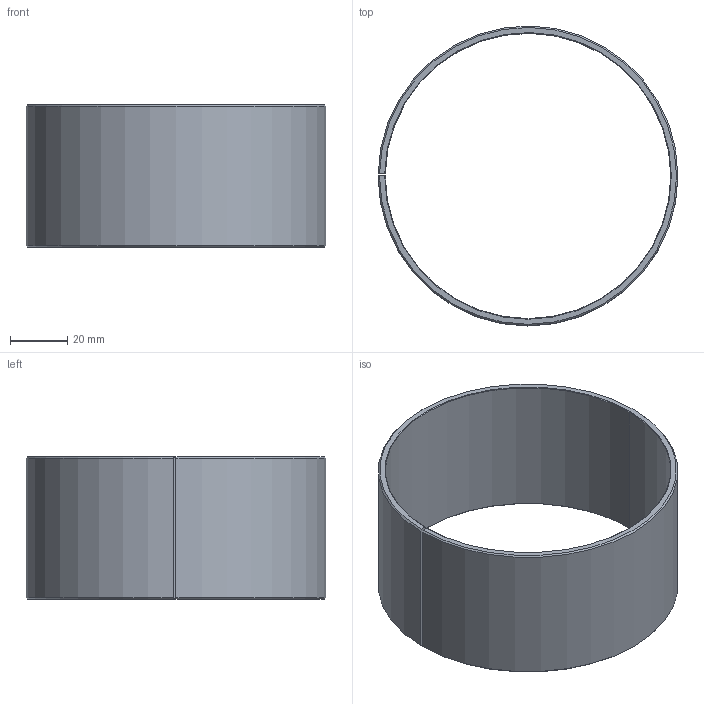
import cadquery as cq
import math

outer_diameter = 105.0
wall_thickness = 2.5
height = 50.0
outer_chamfer = 0.5
inner_chamfer = 0.2
slit_angle = 1.0

outer_radius = outer_diameter / 2
inner_radius = outer_radius - wall_thickness


def make_ring():
    """Tube standing on the XY plane, revolved about Z from its chamfered wall section."""
    wall_section = (
        cq.Workplane("XZ")
        .moveTo(inner_radius + inner_chamfer, 0)
        .lineTo(outer_radius - outer_chamfer, 0)
        .lineTo(outer_radius, outer_chamfer)
        .lineTo(outer_radius, height - outer_chamfer)
        .lineTo(outer_radius - outer_chamfer, height)
        .lineTo(inner_radius + inner_chamfer, height)
        .lineTo(inner_radius, height - inner_chamfer)
        .lineTo(inner_radius, inner_chamfer)
        .close()
    )
    return wall_section.revolve(360, (0, 0, 0), (0, 1, 0))


def make_slit():
    """Wedge from the axis through the -X wall, one face on the XZ plane, opening toward +Y."""
    reach = outer_radius + wall_thickness
    opening = reach * math.tan(math.radians(slit_angle))
    return (
        cq.Workplane("XY")
        .polyline([(0, 0), (-reach, 0), (-reach, opening)])
        .close()
        .extrude(height)
    )


result = make_ring().cut(make_slit())